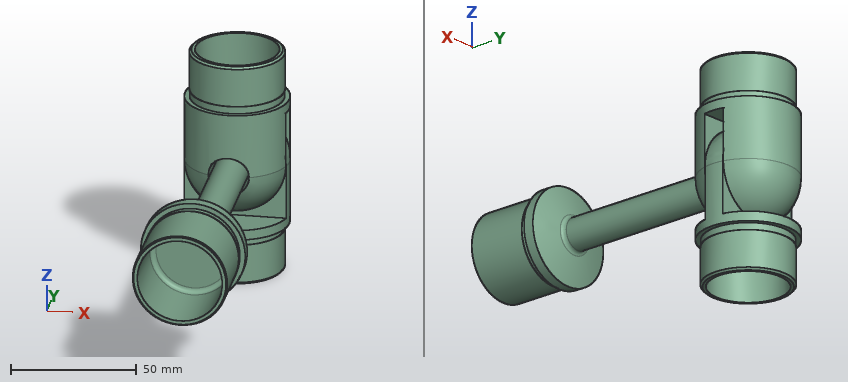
import cadquery as cq
import math

collar_r = 21.2
end_reach = 46.83
shoulder = 26.8
collar_face = 22.7
spigot_r = 19.2
neck_r = 19.0
neck_length = 3.0

socket_bore_r = 16.9
socket_fillet = 2.7
socket_chamfer = 0.9

slot_width = 10.0
tongue_width = 9.5

rod_r = 7.0
rod_hole_r = 8.2
overall_length = 152.3
rod_end = collar_r - overall_length
rod_shoulder = -101.0
rod_collar_face = -96.2
dome_r = 59.4
dome_fillet = 1.8
rod_bore_r = 17.2
rod_bore_fillet = 2.1
rod_chamfer = 0.5


def spigot(length, bore_r, bottom_fillet, rim_chamfer):
    """Cup standing on XY: a relieved neck, a chamfered rim and a bore with a rounded floor edge."""
    floor_r = bore_r - bottom_fillet
    fillet_mid_r = floor_r + bottom_fillet * math.sin(math.pi / 4)
    fillet_mid_z = bottom_fillet * (1 - math.cos(math.pi / 4))
    wall = (
        cq.Workplane("XZ")
        .moveTo(floor_r, 0)
        .lineTo(neck_r, 0)
        .lineTo(neck_r, neck_length)
        .lineTo(spigot_r, neck_length)
        .lineTo(spigot_r, length - rim_chamfer)
        .lineTo(spigot_r - rim_chamfer, length)
        .lineTo(bore_r, length)
        .lineTo(bore_r, bottom_fillet)
        .threePointArc((fillet_mid_r, fillet_mid_z), (floor_r, 0))
        .close()
    )
    return wall.revolve(360, (0, 0, 0), (0, 1, 0))


def vertical_spigot():
    """Spigot rising from the upper shoulder plane."""
    length = end_reach - shoulder
    return spigot(length, socket_bore_r, socket_fillet, socket_chamfer).translate((0, 0, shoulder))


def make_head():
    """Upper body: round-ended barrel with a spigot, a slot for the tongue and a hole for the rod."""
    barrel = cq.Workplane("XY").circle(collar_r).extrude(shoulder)
    ball = cq.Workplane("XY").sphere(collar_r)
    slot_height = collar_face + collar_r
    slot = (
        cq.Workplane("XY", origin=(0, 0, -collar_r))
        .box(2 * collar_r, slot_width, slot_height, centered=(True, True, False))
    )
    rod_hole = cq.Workplane("XZ").circle(rod_hole_r).extrude(collar_r)
    return barrel.union(ball).union(vertical_spigot()).cut(slot).cut(rod_hole)


def make_tongue_base():
    """Lower body: collar with a spigot below and a flat tongue with a spherical top edge above."""
    collar = cq.Workplane("XY", origin=(0, 0, -shoulder)).circle(collar_r).extrude(shoulder - collar_face)
    column = cq.Workplane("XY", origin=(0, 0, -collar_face)).circle(collar_r).extrude(collar_face)
    ball = cq.Workplane("XY").sphere(collar_r)
    slab = cq.Workplane("XY").box(2 * collar_r, tongue_width, 2 * collar_face)
    tongue = column.union(ball).intersect(slab)
    return collar.union(vertical_spigot().mirror("XY")).union(tongue)


def make_rod():
    """Rod from the tongue face to a domed collar that carries a spigot facing -Y."""
    dome_rise = math.sqrt(dome_r**2 - rod_r**2) - math.sqrt(dome_r**2 - collar_r**2)
    dome_mid_r = (rod_r + collar_r) / 2
    dome_mid_rise = math.sqrt(dome_r**2 - dome_mid_r**2) - math.sqrt(dome_r**2 - collar_r**2)
    shaft = (
        cq.Workplane("XY")
        .moveTo(0, rod_shoulder)
        .lineTo(collar_r, rod_shoulder)
        .lineTo(collar_r, rod_collar_face)
        .threePointArc((dome_mid_r, rod_collar_face + dome_mid_rise), (rod_r, rod_collar_face + dome_rise))
        .lineTo(rod_r, -tongue_width / 2)
        .lineTo(0, -tongue_width / 2)
        .close()
        .revolve(360, (0, 0, 0), (0, 1, 0))
    )
    dome_root = cq.selectors.BoxSelector(
        (-collar_r, rod_collar_face + dome_mid_rise, -collar_r),
        (collar_r, rod_collar_face + 2 * dome_rise, collar_r),
    )
    shaft = shaft.edges(dome_root).fillet(dome_fillet)
    end_spigot = (
        spigot(rod_shoulder - rod_end, rod_bore_r, rod_bore_fillet, rod_chamfer)
        .rotate((0, 0, 0), (1, 0, 0), 90)
        .translate((0, rod_shoulder, 0))
    )
    return shaft.union(end_spigot)


head = make_head()
tongue_base = make_tongue_base()
rod = make_rod()

result = cq.Compound.makeCompound([head.val(), tongue_base.val(), rod.val()])